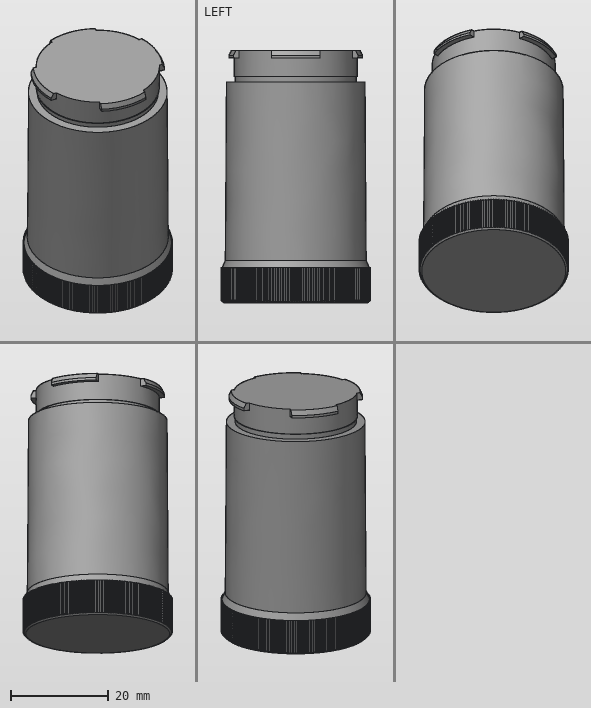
import cadquery as cq
import math

total_height = 52.0
collar_chamfer = 0.55
collar_top = 7.3
body_bottom = 8.75
body_top = 45.5
groove_top = 46.6

collar_tip_dia = 30.8
collar_root_dia = 30.3
body_bottom_dia = 29.05
body_top_dia = 28.6
groove_dia = 25.0
neck_dia = 25.4

tooth_count = 180
tooth_share = 0.5

tab_count = 4
tab_width = 10.0
tab_height = 1.55
tab_rim_height = 0.5
tab_rim_dia = 27.55
tab_top_dia = 26.5


def revolved(profile):
    """Turn a (radius, height) outline around the Z axis."""
    return cq.Workplane("XZ").polyline(profile).close().revolve(360, (0, 0), (0, 1))


def turned_body():
    """Solid of revolution: shoulder, tapered body, relief groove and neck."""
    profile = [
        (0, collar_top),
        (collar_root_dia / 2, collar_top),
        (body_bottom_dia / 2, body_bottom),
        (body_top_dia / 2, body_top),
        (groove_dia / 2, body_top),
        (groove_dia / 2, groove_top),
        (neck_dia / 2, groove_top),
        (neck_dia / 2, total_height),
        (0, total_height),
    ]
    return revolved(profile)


def knurled_collar():
    """Pointed teeth standing on a round collar, with the lower edge chamfered."""
    root_radius = collar_root_dia / 2
    tip_radius = collar_tip_dia / 2
    pitch = 2 * math.pi / tooth_count
    half_tooth = pitch * tooth_share / 2
    points = []
    for i in range(tooth_count):
        middle = i * pitch
        for angle, radius in (
            (middle - half_tooth, root_radius),
            (middle, tip_radius),
            (middle + half_tooth, root_radius),
        ):
            points.append((radius * math.cos(angle), radius * math.sin(angle)))
    knurl = cq.Workplane("XY").polyline(points).close().extrude(collar_top)
    chamfer_profile = [
        (0, 0),
        (tip_radius - collar_chamfer, 0),
        (tip_radius, collar_chamfer),
        (tip_radius, collar_top),
        (0, collar_top),
    ]
    return knurl.intersect(revolved(chamfer_profile))


def bayonet_tabs():
    """Parallel-sided tabs with a tapered upper flank and a straight rim below it."""
    tab_bottom = total_height - tab_height
    profile = [
        (0, tab_bottom),
        (tab_rim_dia / 2, tab_bottom),
        (tab_rim_dia / 2, tab_bottom + tab_rim_height),
        (tab_top_dia / 2, total_height),
        (0, total_height),
    ]
    bars = cq.Workplane("XY").workplane(offset=tab_bottom).rect(tab_rim_dia, tab_width).extrude(tab_height)
    bars = bars.union(bars.rotate((0, 0, 0), (0, 0, 1), 360 / tab_count))
    return revolved(profile).intersect(bars)


result = turned_body().union(knurled_collar()).union(bayonet_tabs())